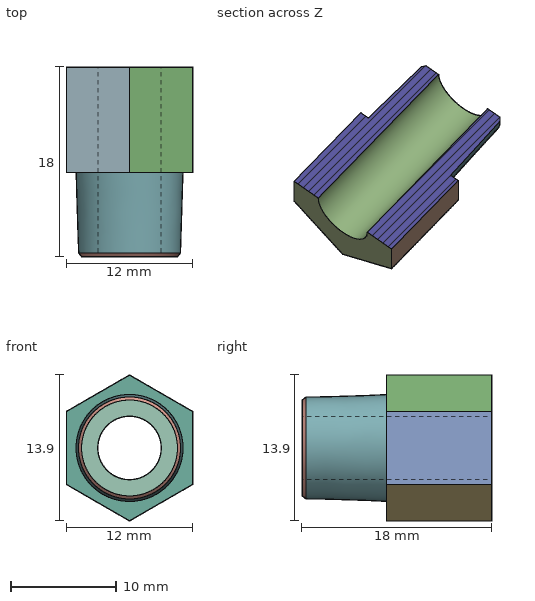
import cadquery as cq
import math

across_flats = 12.0
hex_length = 10.0
across_corners = across_flats / math.cos(math.radians(30))

spigot_length = 8.0
spigot_root_diameter = 10.16
taper = 1 / 16
tip_chamfer_length = 0.35
tip_face_diameter = 9.1

bore_diameter = 6.0

total_length = spigot_length + hex_length


def make_hex_body():
    """Hexagonal prism with two corners on the Z axis, starting where the spigot ends."""
    return (
        cq.Workplane("XZ", origin=(0, spigot_length, 0))
        .transformed(rotate=(0, 0, 90))
        .polygon(6, across_corners)
        .extrude(-hex_length)
    )


def make_spigot():
    """Tapered spigot with a chamfered tip, its profile revolved about the Y axis."""
    taper_length = spigot_length - tip_chamfer_length
    taper_end_diameter = spigot_root_diameter - taper * taper_length
    return (
        cq.Workplane("XY")
        .moveTo(0, 0)
        .lineTo(tip_face_diameter / 2, 0)
        .lineTo(taper_end_diameter / 2, tip_chamfer_length)
        .lineTo(spigot_root_diameter / 2, spigot_length)
        .lineTo(0, spigot_length)
        .close()
        .revolve(360, (0, 0, 0), (0, 1, 0))
    )


def make_bore():
    """Cylinder that removes the bore along the whole length."""
    return cq.Workplane("XZ").circle(bore_diameter / 2).extrude(-total_length)


result = make_hex_body().union(make_spigot()).cut(make_bore())